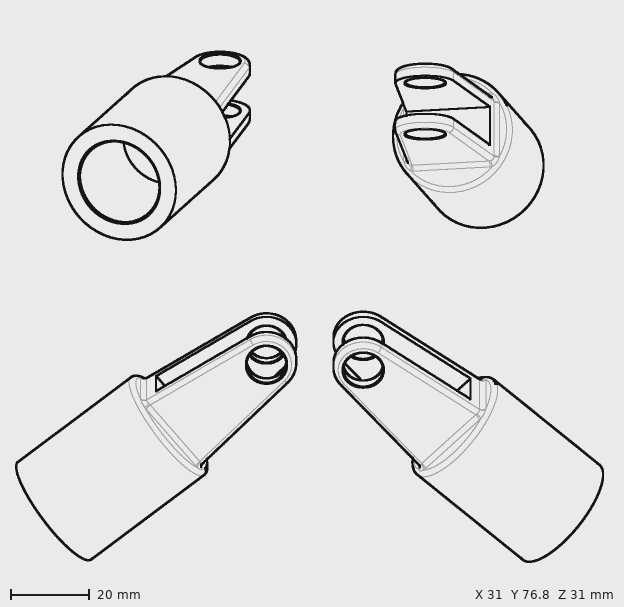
import cadquery as cq
import math

total_length = 76.8
body_diameter = 31.0

body_length = 38.1
edge_radius = 1.2
bore_diameter = 21.65
bore_depth = 29.95
mouth_chamfer = 0.4

fork_thickness = 16.9
slot_width = 10.0
slot_bottom_y = 42.0
fork_root_width = 22.7
tip_radius = 7.6
eye_diameter = 10.1
eye_chamfer = 0.2
eye_y = total_length - tip_radius

half_root = fork_root_width / 2

selection_margin = 0.1


def make_body():
    """Round body with a rounded shoulder at its fork end."""
    body = cq.Workplane("XZ").circle(body_diameter / 2).extrude(-body_length)
    return body.faces(">Y").edges().fillet(edge_radius)


def make_fork_blank():
    """Tapered block whose straight sides run tangent into the round tip."""
    run = eye_y - body_length
    root_distance = math.hypot(half_root, run)
    tangent_angle = math.acos(tip_radius / root_distance) - math.atan2(run, half_root)
    tangent_x = tip_radius * math.cos(tangent_angle)
    tangent_y = eye_y + tip_radius * math.sin(tangent_angle)
    blank = (
        cq.Workplane("XY", origin=(0, 0, -fork_thickness / 2))
        .moveTo(-half_root, body_length)
        .lineTo(half_root, body_length)
        .lineTo(tangent_x, tangent_y)
        .threePointArc((0, total_length), (-tangent_x, tangent_y))
        .close()
        .extrude(fork_thickness)
    )
    return blank.faces("|Z").edges("not(<Y)").fillet(edge_radius)


def cut_slot(part):
    """Open the fork between its two arms."""
    slot_length = total_length - slot_bottom_y
    slot = cq.Workplane("XY").box(body_diameter, slot_length, slot_width, centered=(True, False, True))
    return part.cut(slot.translate((0, slot_bottom_y, 0)))


def cut_eyes(part):
    """Bore the pin hole through both arms, chamfered on both faces of each arm."""
    eye_radius = eye_diameter / 2
    rim_radius = eye_radius + eye_chamfer
    inner_z = slot_width / 2
    outer_z = fork_thickness / 2
    half_profile = (
        cq.Workplane("XZ", origin=(0, eye_y, 0))
        .lineTo(rim_radius, 0)
        .lineTo(rim_radius, inner_z)
        .lineTo(eye_radius, inner_z + eye_chamfer)
        .lineTo(eye_radius, outer_z - eye_chamfer)
        .lineTo(rim_radius, outer_z)
        .lineTo(0, outer_z)
        .close()
    )
    upper_cutter = half_profile.revolve(360, (0, 0, 0), (0, 1, 0))
    lower_cutter = upper_cutter.mirror("XY")
    return part.cut(upper_cutter).cut(lower_cutter)


def cut_bore(part):
    """Blind socket bore with a small chamfer at its mouth."""
    bore_radius = bore_diameter / 2
    bore_profile = (
        cq.Workplane("XY")
        .lineTo(bore_radius + mouth_chamfer, 0)
        .lineTo(bore_radius, mouth_chamfer)
        .lineTo(bore_radius, bore_depth)
        .lineTo(0, bore_depth)
        .close()
    )
    return part.cut(bore_profile.revolve(360, (0, 0, 0), (0, 1, 0)))


def blend_fork_root(part):
    """Fillet the corner where the fork meets the flat end of the body."""
    end_plane_edges = cq.selectors.BoxSelector(
        (-body_diameter, body_length - selection_margin, -body_diameter),
        (body_diameter, body_length + selection_margin, body_diameter),
        boundingbox=True,
    )
    return part.edges(end_plane_edges).edges("not %CIRCLE").fillet(edge_radius)


blended = blend_fork_root(make_body().union(make_fork_blank()))
result = cut_bore(cut_eyes(cut_slot(blended)))